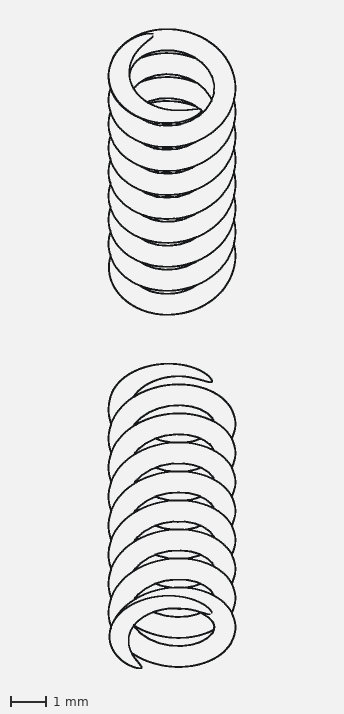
import cadquery as cq

outer_diameter = 3.6
wire_diameter = 0.6
free_length = 9.0
turns = 8
start_angle = -95.0
extra_turns = 1

pitch = free_length / turns
coil_radius = (outer_diameter - wire_diameter) / 2
run_out = extra_turns * pitch


def long_coil():
    """Right-handed round-wire coil that overruns both end faces."""
    path = cq.Wire.makeHelix(pitch, free_length + 2 * run_out, coil_radius)
    coil = (
        cq.Workplane("XZ")
        .center(coil_radius, 0)
        .circle(wire_diameter / 2)
        .sweep(cq.Workplane(obj=path), isFrenet=True)
    )
    return coil.rotate((0, 0, 0), (0, 0, 1), start_angle).translate((0, 0, -run_out))


def end_limits():
    """Block between the two flat end faces."""
    width = 2 * outer_diameter
    return cq.Workplane("XY").box(width, width, free_length, centered=(True, True, False))


result = long_coil().intersect(end_limits())